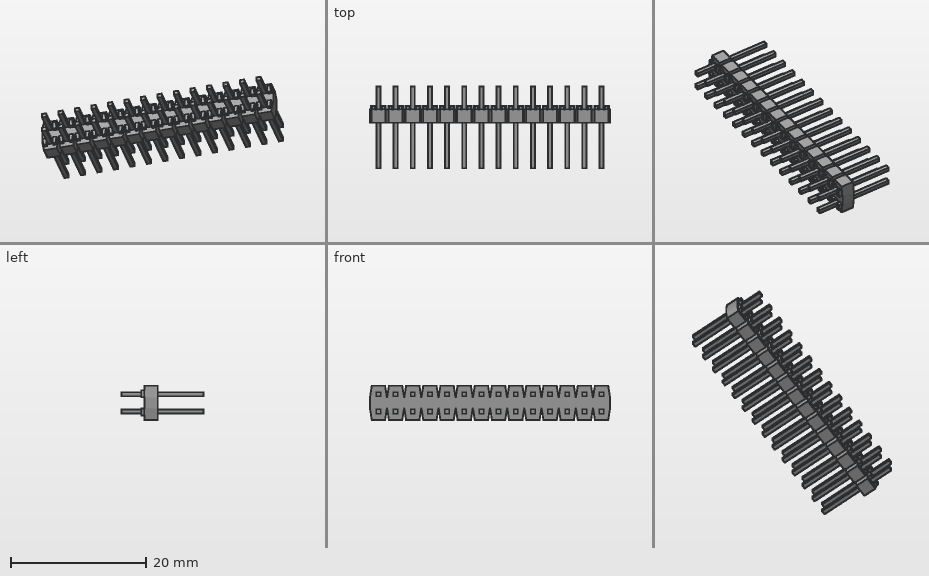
import cadquery as cq

pitch = 2.54
columns = 14
row_count = 2

body_depth = 2.0
waist_half_height = 0.8
cell_top_half_width = 1.0

pin_width = 0.64
pin_front_length = 6.75
pin_back_length = 3.4

foot_depth = 0.5
foot_low_z = 0.8
foot_high_z = 1.9
foot_inner_x = 0.5
foot_outer_low_x = 1.1
foot_outer_high_x = 0.93

body_half_height = row_count * pitch / 2
cell_half_width = pitch / 2
pin_length = pin_front_length + body_depth + pin_back_length
row_signs = (-1, 1)
side_signs = (-1, 1)
column_centres = [(i - (columns - 1) / 2) * pitch for i in range(columns)]


def extrude_along_y(points, start_y, depth):
    """Extrude a closed XZ outline from start_y towards +Y."""
    return (
        cq.Workplane("XZ", origin=(0, start_y, 0))
        .polyline(points)
        .close()
        .extrude(-depth)
    )


def make_body():
    """Row of eight-sided cells, joined at the waist with V notches between their ends."""
    top = []
    for x in column_centres:
        top.append((x - cell_half_width, waist_half_height))
        top.append((x - cell_top_half_width, body_half_height))
        top.append((x + cell_top_half_width, body_half_height))
    top.append((column_centres[-1] + cell_half_width, waist_half_height))
    bottom = [(x, -z) for x, z in reversed(top)]
    return extrude_along_y(top + bottom, 0, body_depth)


def make_pin(x, row_sign):
    """Straight square pin running through the body."""
    return (
        cq.Workplane("XY")
        .box(pin_width, pin_length, pin_width, centered=(True, False, True))
        .translate((x, -pin_front_length, row_sign * pitch / 2))
    )


def make_foot(x, side_sign, row_sign):
    """Standoff foot with a flat inner side and a slanted outer side."""
    profile = [
        (foot_inner_x, foot_low_z),
        (foot_outer_low_x, foot_low_z),
        (foot_outer_high_x, foot_high_z),
        (foot_inner_x, foot_high_z),
    ]
    points = [(x + side_sign * px, row_sign * pz) for px, pz in profile]
    return extrude_along_y(points, body_depth, foot_depth)


attachments = []
for column_x in column_centres:
    for row in row_signs:
        attachments.append(make_pin(column_x, row).val())
        for side in side_signs:
            attachments.append(make_foot(column_x, side, row).val())

result = cq.Workplane("XY").newObject(make_body().val().fuse(*attachments).Solids())